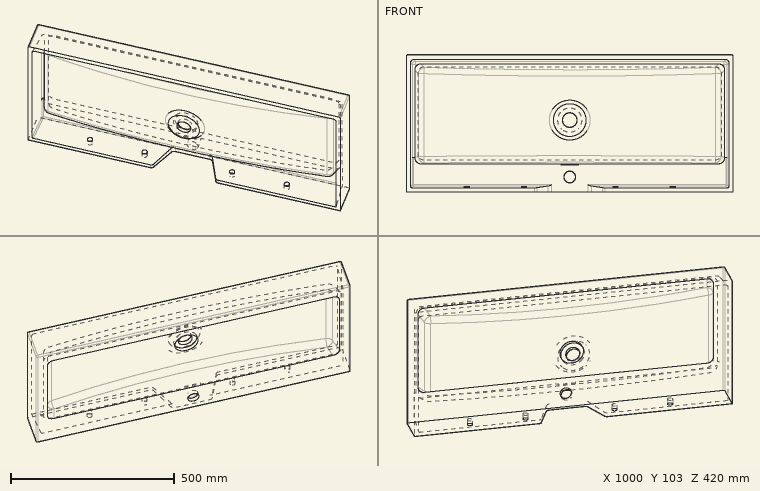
import cadquery as cq
import math


length = 1000.0
depth = 100.0
height = 420.0
edge_round = 5.0

wall = 13.0
top_rim = 15.0
ledge_depth = depth - wall
hollow_draft = 4.0
top_corner_radius = 10.0
bottom_corner_radius = 4.0
ledge_corner_radius = 4.0
groove_radius = 10.0

bowl_half_length = 474.0
bowl_bottom = 86.0
bowl_top = 392.0
bowl_end_draft = 16.0
bowl_bottom_draft = 5.0
bowl_top_draft = 16.0
bowl_middle_y = 9.0
bowl_end_y = 37.0
bowl_radius = 20.0

drain_z = 220.0
drain_diameter = 44.0
drain_boss_diameter = 100.0
drain_boss_height = 3.0
drain_boss_flare = 15.0
drain_boss_flare_hollow = 3.0
flare_overlap = 1.0
drain_recess_diameter = drain_boss_diameter - 2 * wall

tap_diameter = 35.0
tap_z = 46.0
overflow_length = 54.0
overflow_drop = 3.0
overflow_thickness = 5.0
overflow_rise = 12.0

shelf_hole_diameter = 16.0
shelf_hole_positions = (140.0, 315.0)
shelf_hole_y = 44.0
notch_rim_half_width = 102.0
notch_ledge_half_width = 63.0
notch_rim_radius = 9.0
notch_ledge_radius = 12.0
notch_height = 30.0


def run(distance, angle):
    """Sideways travel of a drafted wall over a distance along Y."""
    return distance * math.tan(math.radians(angle))


def cylinder_y(diameter, x, z, y_start, y_end):
    """Cylinder along +Y between two Y positions."""
    base = cq.Workplane("XZ", origin=(x, y_start, z))
    return base.circle(diameter / 2).extrude(y_start - y_end)


def make_box():
    """Outer block with rounded top corners and front edges."""
    box = cq.Workplane("XY").box(length, depth, height, centered=(True, False, False))
    box = box.edges("|Y and >Z").fillet(edge_round)
    return box.faces(">Y").edges("not <Z").fillet(edge_round)


def make_drafted_hollow(floor_radius):
    """Hollow that narrows from the back rim to the ledge, with its floor edge rounded."""
    hollow_height = height - wall - top_rim
    hollow = (
        cq.Workplane("XZ", origin=(0, 0, wall + hollow_height / 2))
        .rect(length - 2 * wall, hollow_height)
        .extrude(-ledge_depth, taper=hollow_draft)
    )
    hollow = hollow.edges("not (#Y)").edges("<Z").fillet(bottom_corner_radius)
    hollow = hollow.edges("not (#Y)").edges(">Z").fillet(top_corner_radius)
    return hollow.faces(">Y").edges().fillet(floor_radius)


def make_hollow():
    """Hollow with a small round along the ledge and a large one in the groove around the bowl."""
    split_z = bowl_bottom + bowl_radius
    upper = cq.Workplane("XY", origin=(0, 0, split_z)).box(
        length, 2 * depth, height, centered=(True, True, False)
    )
    ledge_part = make_drafted_hollow(ledge_corner_radius).cut(upper)
    bowl_part = make_drafted_hollow(groove_radius).intersect(upper)
    return ledge_part.union(bowl_part)


def make_bowl(inset):
    """Bowl body open at the front face, with every wall moved inwards by inset."""
    to_front = depth - ledge_depth
    to_middle = bowl_middle_y + inset - ledge_depth
    to_end = bowl_end_y + inset - ledge_depth
    half_length = bowl_half_length - inset
    floor_half = half_length + run(to_end, bowl_end_draft)
    mouth_half = half_length + run(to_front, bowl_end_draft)
    plan = (
        cq.Workplane("XY")
        .moveTo(-mouth_half, depth)
        .lineTo(-floor_half, ledge_depth + to_end)
        .threePointArc((0, ledge_depth + to_middle), (floor_half, ledge_depth + to_end))
        .lineTo(mouth_half, depth)
        .close()
        .extrude(height)
    )
    top = bowl_top - inset
    bottom = bowl_bottom + inset
    deep_y = ledge_depth + to_middle
    side = (
        cq.Workplane("YZ")
        .moveTo(depth, bottom - run(to_front, bowl_bottom_draft))
        .lineTo(depth, top + run(to_front, bowl_top_draft))
        .lineTo(deep_y, top + run(to_middle, bowl_top_draft))
        .lineTo(deep_y, bottom - run(to_middle, bowl_bottom_draft))
        .close()
        .extrude(length / 2, both=True)
    )
    return plan.intersect(side).edges("not >Y").fillet(bowl_radius)


def make_drain_boss():
    """Round boss under the drain, flaring out to meet the bowl."""
    radius = drain_boss_diameter / 2
    flare_depth = bowl_middle_y + flare_overlap
    profile = (
        cq.Workplane("XY")
        .moveTo(0, -drain_boss_height)
        .lineTo(radius, -drain_boss_height)
        .sagittaArc((radius + drain_boss_flare, flare_depth), drain_boss_flare_hollow)
        .lineTo(0, flare_depth)
        .close()
    )
    return profile.revolve(360, (0, 0), (0, 1)).translate((0, 0, drain_z))


def make_overflow_pad():
    """Low pad on the lower bowl wall, next to the ledge."""
    return cq.Workplane("XY").box(
        overflow_length, overflow_thickness, overflow_rise, centered=(True, False, False)
    ).translate((0, ledge_depth - overflow_thickness, bowl_bottom - overflow_drop))


def make_notch():
    """Tapered gap in the shelf, with its rim and ledge corners rounded."""
    notch = (
        cq.Workplane("XY")
        .moveTo(-notch_rim_half_width, 0)
        .lineTo(notch_rim_half_width, 0)
        .lineTo(notch_ledge_half_width, ledge_depth)
        .lineTo(-notch_ledge_half_width, ledge_depth)
        .close()
        .extrude(notch_height)
    )
    return notch.edges("|Z and >Y").fillet(notch_ledge_radius)


def make_drain():
    """Drain hole with a wide recess on the basin side."""
    hole = cylinder_y(drain_diameter, 0, drain_z, -drain_boss_height, depth)
    recess = cylinder_y(drain_recess_diameter, 0, drain_z, wall - drain_boss_height, ledge_depth)
    return hole.union(recess)


def make_shelf_holes():
    """Mounting holes through the shelf, in mirrored pairs."""
    points = [(side * x, shelf_hole_y) for x in shelf_hole_positions for side in (-1, 1)]
    return (
        cq.Workplane("XY").pushPoints(points).circle(shelf_hole_diameter / 2).extrude(notch_height)
    )


result = make_box().cut(make_hollow()).union(make_bowl(0))
result = result.union(make_overflow_pad()).union(make_drain_boss())
result = result.cut(make_bowl(wall))

result = result.cut(make_drain())
result = result.cut(cylinder_y(tap_diameter, 0, tap_z, 0, depth))
result = result.cut(make_notch())
result = result.cut(make_shelf_holes())

for side in (-1, 1):
    corner = cq.NearestToPointSelector((side * notch_rim_half_width, 0, wall / 2))
    result = result.edges("|Z").edges(corner).fillet(notch_rim_radius)